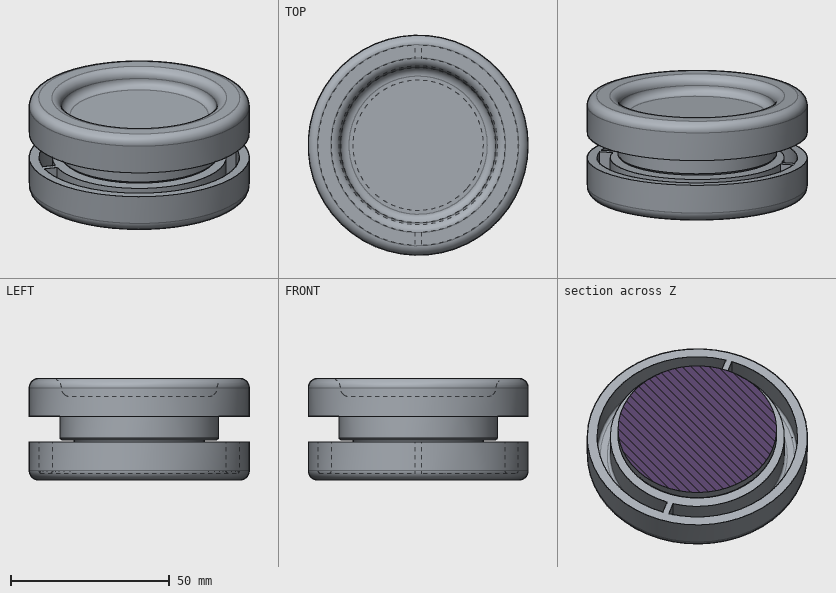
import cadquery as cq

disc_radius = 34.65
disc_height = 12.0
edge_round = 3.0

groove_inner_radius = 27.4
groove_outer_radius = 31.5
groove_depth = 10.0
groove_floor_round = 1.0
rib_width = 2.0
rib_count = 2
first_rib_angle = -90.0

total_height = 32.0
lid_bottom = total_height - disc_height
dish_rim_radius = 27.5
dish_rim_round = 3.0
dish_floor_round = 2.8
dish_depth = dish_rim_round + dish_floor_round
dish_wall_radius = dish_rim_radius - dish_rim_round
dish_floor_radius = dish_wall_radius - dish_floor_round
arc_inset = 1 - 0.5**0.5
boss_radius = 50.0 / 2
boss_bottom = 12.6
boss_chamfer = 0.6
neck_radius = 41.0 / 2


def cylinder(radius, bottom, top):
    """Upright cylinder about the Z axis."""
    return cq.Workplane("XY").workplane(offset=bottom).circle(radius).extrude(top - bottom)


def make_groove():
    """Ring of removed material, split into arcs by the ribs left standing."""
    floor = disc_height - groove_depth
    ring = cylinder(groove_outer_radius, floor, disc_height)
    ring = ring.cut(cylinder(groove_inner_radius, floor, disc_height))
    ring = ring.faces("<Z").edges().fillet(groove_floor_round)
    rib = (
        cq.Workplane("XY")
        .workplane(offset=floor)
        .rect(disc_radius, rib_width)
        .extrude(groove_depth)
        .translate((disc_radius / 2, 0, 0))
    )
    for index in range(rib_count):
        angle = first_rib_angle + index * 360.0 / rib_count
        ring = ring.cut(rib.rotate((0, 0, 0), (0, 0, 1), angle))
    return ring


def make_base():
    """Disc rounded at its lower edge, with a ribbed groove in its top face."""
    disc = cylinder(disc_radius, 0, disc_height).faces("<Z").edges().fillet(edge_round)
    return disc.cut(make_groove())


def make_dish():
    """Shallow dish whose side is a convex arc running into a concave one."""
    floor = total_height - dish_depth
    wall_height = total_height - dish_rim_round
    floor_inset = dish_floor_round * arc_inset
    rim_inset = dish_rim_round * arc_inset
    return (
        cq.Workplane("XZ")
        .moveTo(0, floor)
        .lineTo(dish_floor_radius, floor)
        .threePointArc(
            (dish_wall_radius - floor_inset, floor + floor_inset),
            (dish_wall_radius, wall_height),
        )
        .threePointArc(
            (dish_wall_radius + rim_inset, total_height - rim_inset),
            (dish_rim_radius, total_height),
        )
        .lineTo(0, total_height)
        .close()
        .revolve(360, (0, 0), (0, 1))
    )


def make_lid():
    """Dished disc on a chamfered boss, standing on the base by a short neck."""
    disc = cylinder(disc_radius, lid_bottom, total_height).faces(">Z").edges().fillet(edge_round)
    boss = cylinder(boss_radius, boss_bottom, lid_bottom).faces("<Z").edges().chamfer(boss_chamfer)
    neck = cylinder(neck_radius, disc_height, boss_bottom)
    return disc.union(boss).union(neck).cut(make_dish())


base = make_base()
lid = make_lid()
result = cq.Compound.makeCompound([base.val(), lid.val()])